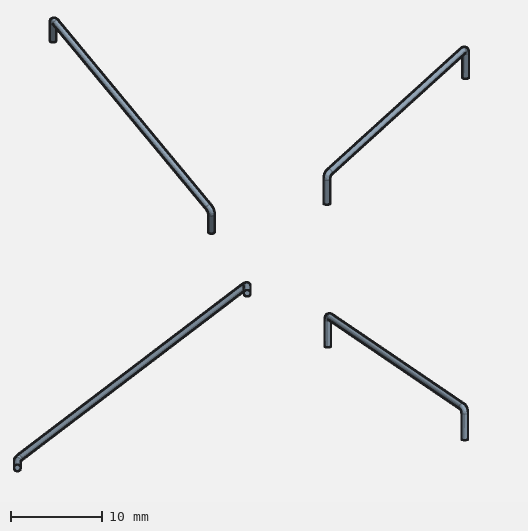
import cadquery as cq

span = 32.75
height = 4.0
wire_diameter = 0.75
bend_radius = 0.55

wire_radius = wire_diameter / 2
leg_x = span / 2 - wire_radius
bar_z = height - wire_radius
bend_start_z = bar_z - bend_radius
bend_end_x = leg_x - bend_radius

centreline = (
    cq.Workplane("XZ")
    .moveTo(-leg_x, 0)
    .lineTo(-leg_x, bend_start_z)
    .tangentArcPoint((-bend_end_x, bar_z), relative=False)
    .lineTo(bend_end_x, bar_z)
    .tangentArcPoint((leg_x, bend_start_z), relative=False)
    .lineTo(leg_x, 0)
)

result = cq.Workplane("XY").center(-leg_x, 0).circle(wire_radius).sweep(centreline)